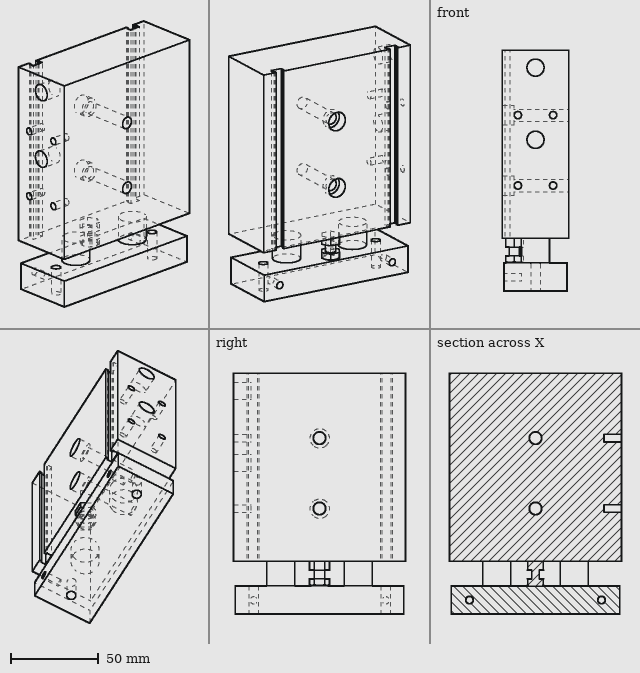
import cadquery as cq
import math


housing_thickness = 38.0
housing_width = 98.0
housing_height = 107.0

plate_thickness = 36.0
plate_width = 96.0
plate_height = 16.0
rod_diameter = 16.0
rod_pitch = 44.0
rod_length = 14.0

plate_top = plate_height
housing_bottom = plate_top + rod_length
housing_top = housing_bottom + housing_height
housing_side_x = -housing_thickness / 2
housing_front_y = -housing_width / 2
plate_side_x = -plate_thickness / 2

slot_pitch = 76.0
slot_mouth_width = 5.2
slot_mouth_depth = 1.5
slot_inner_width = 6.7
slot_depth = 4.4

mount_hole_diameter = 6.9
mount_bore_diameter = 11.0
mount_bore_depth = 6.5

hole_level_drop = 37.0
hole_level_pitch = 40.0
hole_levels = [
    housing_top - hole_level_drop,
    housing_top - hole_level_drop - hole_level_pitch,
]

tapped_diameter = 4.13
tapped_depth = 10.0
front_tapped_pitch = 20.0

port_diameter = 9.73
port_depth = 10.0
port_drops = [10.0, 51.0]

plate_hole_pitch = 75.0
plate_hole_diameter = 5.2

bolt_offset = 7.0
bolt_x = housing_side_x + bolt_offset
shank_diameter = 6.0
hex_across_flats = 10.0
hex_across_corners = hex_across_flats / math.cos(math.radians(30))
head_height = 5.0
nut_height = 4.0
nut_seat_diameter = 9.0
nut_bevel_angle = 30.0


def block(size_x, size_y, size_z, bottom):
    """Box centred on the Z axis and standing on the level `bottom`."""
    return cq.Workplane("XY", origin=(0, 0, bottom)).box(
        size_x, size_y, size_z, centered=(True, True, False)
    )


def bore(diameter, depth, start, direction):
    """Cylinder from the point `start` along `direction`."""
    return cq.Workplane(
        cq.Solid.makeCylinder(diameter / 2, depth, cq.Vector(*start), cq.Vector(*direction))
    )


def t_slot(y):
    """Cutter for one T-slot, running the full height of the housing."""
    inner_depth = slot_depth - slot_mouth_depth
    mouth_x = housing_side_x + slot_depth / 2
    inner_x = housing_side_x + slot_depth - inner_depth / 2
    mouth = block(slot_depth, slot_mouth_width, housing_height, housing_bottom)
    inner = block(inner_depth, slot_inner_width, housing_height, housing_bottom)
    return mouth.translate((mouth_x, y, 0)).union(inner.translate((inner_x, y, 0)))


def make_housing():
    body = block(housing_thickness, housing_width, housing_height, housing_bottom)

    for side in (-1, 1):
        body = body.cut(t_slot(side * slot_pitch / 2))

    for level in hole_levels:
        mount = (housing_side_x, 0, level)
        body = body.cut(bore(mount_hole_diameter, housing_thickness, mount, (1, 0, 0)))
        body = body.cut(bore(mount_bore_diameter, mount_bore_depth, mount, (1, 0, 0)))
        for side in (-1, 1):
            tapped = (side * front_tapped_pitch / 2, housing_front_y, level)
            body = body.cut(bore(tapped_diameter, tapped_depth, tapped, (0, 1, 0)))

    for drop in port_drops:
        port = (0, housing_front_y, housing_top - drop)
        body = body.cut(bore(port_diameter, port_depth, port, (0, 1, 0)))
    return body


def make_slide():
    """End plate with both guide rods; the rods end at the housing."""
    body = block(plate_thickness, plate_width, plate_height, 0)
    for side in (-1, 1):
        rod = bore(rod_diameter, rod_length, (0, side * rod_pitch / 2, plate_top), (0, 0, 1))
        body = body.union(rod)

        hole_y = side * plate_hole_pitch / 2
        body = body.cut(bore(plate_hole_diameter, plate_height, (0, hole_y, 0), (0, 0, 1)))
        tapped = (plate_side_x, hole_y, plate_height / 2)
        body = body.cut(bore(tapped_diameter, tapped_depth, tapped, (1, 0, 0)))
    return body


def hexagon(height, bottom):
    """Hexagonal prism on the bolt axis, with corners toward -Y and +Y."""
    return (
        cq.Workplane("XY", origin=(bolt_x, 0, bottom))
        .transformed(rotate=(0, 0, 90))
        .polygon(6, hex_across_corners)
        .extrude(height)
    )


def bevel_envelope():
    """Turned outline that bevels the lower corners of the nut."""
    seat_radius = nut_seat_diameter / 2
    corner_radius = hex_across_corners / 2
    bevel_height = (corner_radius - seat_radius) * math.tan(math.radians(nut_bevel_angle))
    return (
        cq.Workplane("XZ", origin=(bolt_x, 0, plate_top))
        .moveTo(0, 0)
        .lineTo(seat_radius, 0)
        .lineTo(corner_radius, bevel_height)
        .lineTo(corner_radius, nut_height)
        .lineTo(0, nut_height)
        .close()
        .revolve(360, (0, 0, 0), (0, 1, 0))
    )


def make_stopper_bolt():
    """Bolt head against the housing, shank, and lock nut on the end plate."""
    head = hexagon(head_height, housing_bottom - head_height)
    nut = hexagon(nut_height, plate_top).intersect(bevel_envelope())
    shank = bore(shank_diameter, rod_length, (bolt_x, 0, plate_top), (0, 0, 1))
    return shank.union(head).union(nut)


housing = make_housing()
slide = make_slide()
stopper_bolt = make_stopper_bolt()

result = cq.Compound.makeCompound([housing.val(), slide.val(), stopper_bolt.val()])